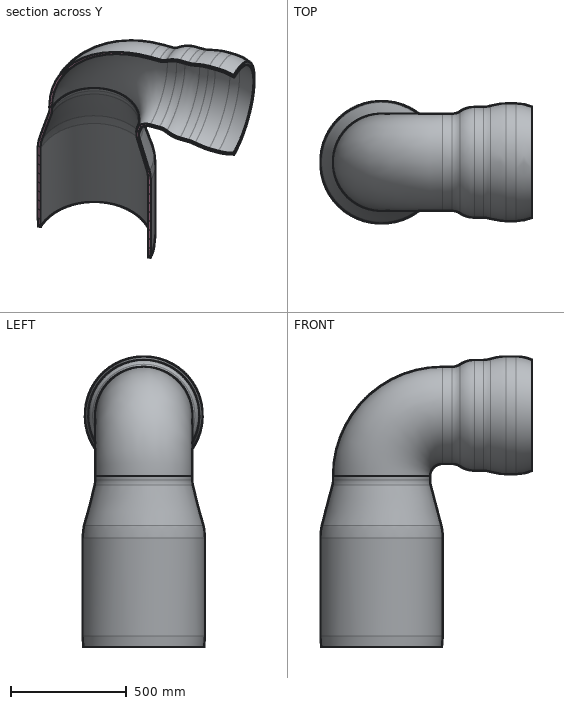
import cadquery as cq

WALL = 15.0
PIPE_RADIUS = 420.0 / 2
SPIGOT_RADIUS = 530.0 / 2
COLLAR_RADIUS = 480.0 / 2
BELL_RADIUS = 510.0 / 2
MOUTH_RADIUS = 480.0 / 2

LENGTH = 915.0
HEIGHT = 1255.0
AXIS_Z = HEIGHT - BELL_RADIUS
BEND_RADIUS = 262.0
BEND_START_Z = AXIS_Z - BEND_RADIUS

END_TAPER_HEIGHT = 48.0
END_RADIUS = 261.0
SPIGOT_TOP_Z = 472.0
CONE_BOTTOM_Z = 525.0
CONE_BOTTOM_RADIUS = 259.0
CONE_TOP_Z = 699.0
CONE_TOP_RADIUS = 212.7
NECK_Z = 720.0

FIRST_FLARE_START_X = 305.0
FIRST_FLARE_MIDDLE_X = 339.0
COLLAR_START_X = 400.0
COLLAR_END_X = 439.0
SECOND_FLARE_MIDDLE_X = 470.0
BELL_START_X = 536.0
BELL_END_X = 580.0
MOUTH_X = LENGTH - SPIGOT_RADIUS


def flare(profile, start, middle_x, end):
    """Add an S-curve of two tangent arcs, parallel to the pipe axis at both ends."""
    start_x, start_radius = start
    end_x, end_radius = end
    fraction = (middle_x - start_x) / (end_x - start_x)
    middle_radius = start_radius + fraction * (end_radius - start_radius)
    return (
        profile.tangentArcPoint((middle_x, middle_radius), relative=False)
        .tangentArcPoint(end, relative=False)
    )


def make_bend(inset):
    """Quarter bend turning from vertical to horizontal, its surface set in by inset."""
    return (
        cq.Workplane("XY", origin=(0, 0, BEND_START_Z))
        .circle(PIPE_RADIUS - inset)
        .revolve(90, (BEND_RADIUS, 0), (BEND_RADIUS, 1))
    )


def make_socket(inset):
    """Stepped bell socket on the horizontal axis, its surface set in by inset."""
    pipe = PIPE_RADIUS - inset
    collar = COLLAR_RADIUS - inset
    bell = BELL_RADIUS - inset
    mouth = MOUTH_RADIUS - inset

    profile = (
        cq.Workplane("XZ", origin=(0, 0, AXIS_Z))
        .moveTo(BEND_RADIUS, 0)
        .lineTo(BEND_RADIUS, pipe)
        .lineTo(FIRST_FLARE_START_X, pipe)
    )
    profile = flare(profile, (FIRST_FLARE_START_X, pipe), FIRST_FLARE_MIDDLE_X, (COLLAR_START_X, collar))
    profile = profile.lineTo(COLLAR_END_X, collar)
    profile = flare(profile, (COLLAR_END_X, collar), SECOND_FLARE_MIDDLE_X, (BELL_START_X, bell))
    return (
        profile.lineTo(BELL_END_X, bell)
        .tangentArcPoint((MOUTH_X, mouth), relative=False)
        .lineTo(MOUTH_X, 0)
        .close()
        .revolve(360, (0, 0), (1, 0))
    )


def make_elbow():
    """Hollow bend and socket in one piece."""
    outside = make_bend(0).union(make_socket(0))
    bore = make_bend(WALL).union(make_socket(WALL))
    return outside.cut(bore).solids()


def make_reducer_solid(inset, end_radius):
    """Spigot, cone and short neck, with the surface above the end taper set in by inset."""
    return (
        cq.Workplane("XZ")
        .lineTo(end_radius, 0)
        .lineTo(SPIGOT_RADIUS - inset, END_TAPER_HEIGHT)
        .lineTo(SPIGOT_RADIUS - inset, SPIGOT_TOP_Z)
        .tangentArcPoint((CONE_BOTTOM_RADIUS - inset, CONE_BOTTOM_Z), relative=False)
        .lineTo(CONE_TOP_RADIUS - inset, CONE_TOP_Z)
        .tangentArcPoint((PIPE_RADIUS - inset, NECK_Z), relative=False)
        .lineTo(PIPE_RADIUS - inset, BEND_START_Z)
        .lineTo(0, BEND_START_Z)
        .close()
        .revolve(360, (0, 0), (0, 1))
    )


def make_reducer():
    """Hollow reducer with a taper on the outside of its open end and a straight bore there."""
    outside = make_reducer_solid(0, END_RADIUS)
    bore = make_reducer_solid(WALL, SPIGOT_RADIUS - WALL)
    return outside.cut(bore).solids()


elbow = make_elbow()
reducer = make_reducer()

result = cq.Compound.makeCompound([elbow.val(), reducer.val()])